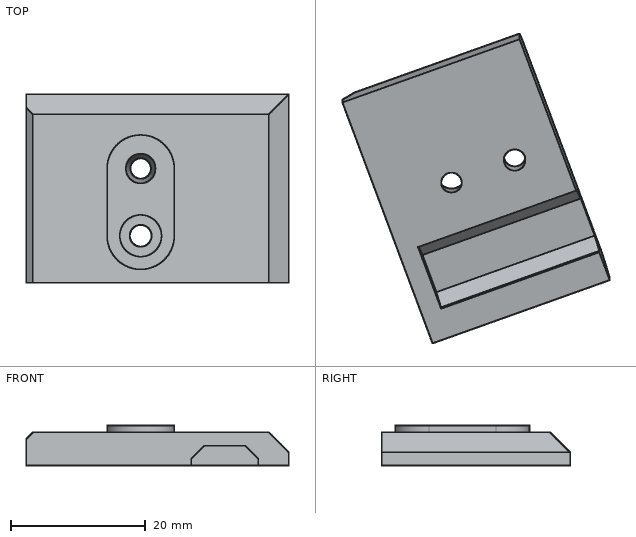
import cadquery as cq

length = 39.0
width = 28.0
plate_height = 5.0
left_chamfer = 1.0
edge_chamfer = 3.0

pad_height = 1.0
pad_diameter = 10.0
hole_x = 17.0
front_hole_y = 7.0
hole_spacing = 10.0
back_hole_y = front_hole_y + hole_spacing
top_z = plate_height + pad_height

front_bore = 3.2
counterbore_diameter = 6.2
counterbore_depth = 3.0

back_top_diameter = 4.4
back_bottom_diameter = 3.0

pocket_left = 24.5
pocket_width = 10.0
pocket_height = 3.0
pocket_wall = 1.0
pocket_slope = pocket_height - pocket_wall
pocket_depth = width - edge_chamfer


def make_plate():
    """Block with its left, right and back top edges chamfered."""
    block = cq.Workplane("XY").box(length, width, plate_height, centered=False)
    block = block.faces(">Z").edges(">X or >Y").chamfer(edge_chamfer)
    left_corner = (
        cq.Workplane("XZ")
        .moveTo(0, plate_height)
        .lineTo(left_chamfer, plate_height)
        .lineTo(0, plate_height - left_chamfer)
        .close()
        .extrude(-width)
    )
    return block.cut(left_corner)


def make_pad():
    return (
        cq.Workplane("XY", origin=(hole_x, (front_hole_y + back_hole_y) / 2, plate_height))
        .slot2D(hole_spacing + pad_diameter, pad_diameter, angle=90)
        .extrude(pad_height)
    )


def make_pocket():
    pocket_right = pocket_left + pocket_width
    outline = [
        (pocket_left, 0),
        (pocket_left, pocket_wall),
        (pocket_left + pocket_slope, pocket_height),
        (pocket_right - pocket_slope, pocket_height),
        (pocket_right, pocket_wall),
        (pocket_right, 0),
    ]
    return cq.Workplane("XZ").polyline(outline).close().extrude(-pocket_depth)


def make_tapered_hole():
    return (
        cq.Workplane("XY", origin=(hole_x, back_hole_y, 0))
        .circle(back_bottom_diameter / 2)
        .workplane(offset=top_z)
        .circle(back_top_diameter / 2)
        .loft()
    )


body = make_plate().union(make_pad())
body = body.cut(make_pocket()).cut(make_tapered_hole())
result = (
    body.faces(">Z")
    .workplane(origin=(hole_x, front_hole_y, top_z))
    .cboreHole(front_bore, counterbore_diameter, counterbore_depth)
)